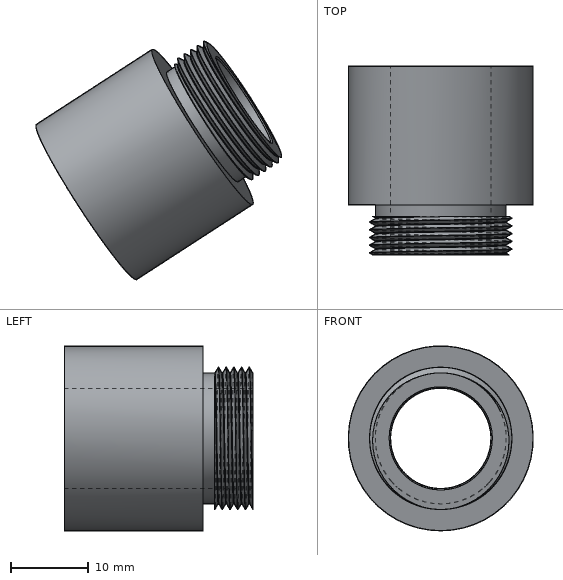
import cadquery as cq

total_length = 24.5
body_diameter = 24.0
body_length = 18.0
neck_diameter = 17.0
bore_diameter = 13.0
bore_chamfer = 0.2

thread_length = 5.0
thread_turns = 5
crest_diameter = 18.47
crest_width = 0.05
root_width = 0.05
ridge_embed = 0.05

end_y = -total_length / 2
thread_pitch = thread_length / thread_turns
core_radius = neck_diameter / 2
crest_radius = crest_diameter / 2


def cylinder(diameter, length):
    """Cylinder standing on the XY plane along +Z."""
    return cq.Workplane("XY").circle(diameter / 2).extrude(length)


def thread_ridge():
    """V-shaped helical ridge, trimmed flat at both ends of the thread."""
    half_base = (thread_pitch - root_width) / 2
    half_crest = crest_width / 2
    inner_radius = core_radius - ridge_embed
    helix = cq.Wire.makeHelix(thread_pitch, thread_length + 2 * thread_pitch, core_radius)
    ridge = (
        cq.Workplane("XZ")
        .polyline([
            (inner_radius, -half_base),
            (crest_radius, -half_crest),
            (crest_radius, half_crest),
            (inner_radius, half_base),
        ])
        .close()
        .sweep(cq.Workplane(helix), isFrenet=True)
        .translate((0, 0, -thread_pitch))
    )
    return ridge.intersect(cylinder(body_diameter, thread_length))


def bore():
    """Through bore with a chamfered mouth at the threaded end."""
    mouth = (
        cq.Workplane("XY")
        .circle(bore_diameter / 2 + bore_chamfer)
        .workplane(offset=bore_chamfer)
        .circle(bore_diameter / 2)
        .loft()
    )
    return cylinder(bore_diameter, total_length).union(mouth)


spigot = cylinder(neck_diameter, total_length)
body = cylinder(body_diameter, body_length).translate((0, 0, total_length - body_length))
adapter = spigot.union(body).union(thread_ridge()).cut(bore())

result = (
    adapter.rotate((0, 0, 0), (0, 0, 1), 90)
    .rotate((0, 0, 0), (1, 0, 0), -90)
    .translate((0, end_y, 0))
)